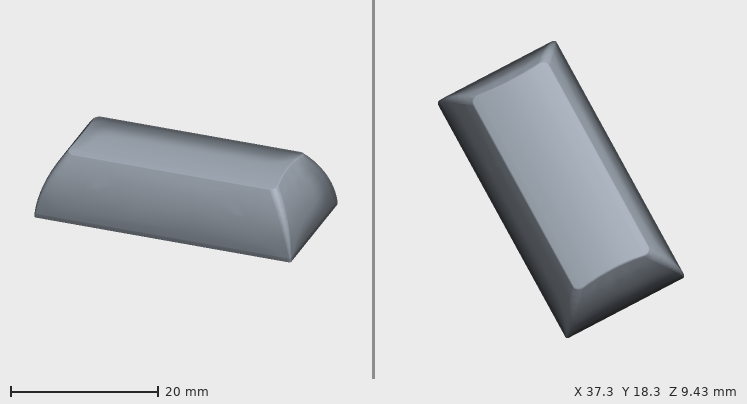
import cadquery as cq
import math

length = 37.27
width = 18.25
height = 9.43

band_height = 0.6
base_corner_radius = 0.3

wall_radius = 14.9
wall_start_angle = 4.5
top_corner_radius = 1.05
wall_sections = 6

crown_radius = 29.45
rim_radius = 0.3
overrun = 0.37


def wall_inset(rise):
    """Inward offset of the walls at a given rise above the band."""
    start = math.radians(wall_start_angle)
    end = math.asin(math.sin(start) + rise / wall_radius)
    return wall_radius * (math.cos(start) - math.cos(end))


def rounded_outline(inset, corner_radius):
    """Foot outline moved inward by inset, with rounded corners."""
    sides = cq.Sketch().rect(length - 2 * inset, width - 2 * inset)
    return sides.vertices().fillet(corner_radius)


def make_band():
    outline = rounded_outline(0, base_corner_radius)
    return cq.Workplane("XY").placeSketch(outline).extrude(band_height)


def make_walls():
    """Loft upward from the band while the corner radius grows, quickly at first."""
    full_rise = height + overrun - band_height
    sections = []
    for index in range(wall_sections):
        fraction = index / (wall_sections - 1)
        rise = fraction * full_rise
        growth = math.sin(fraction * math.pi / 2)
        corner_radius = base_corner_radius + growth * (top_corner_radius - base_corner_radius)
        outline = rounded_outline(wall_inset(rise), corner_radius)
        sections.append(outline.moved(cq.Location(cq.Vector(0, 0, band_height + rise))))
    return cq.Workplane("XY").placeSketch(*sections).loft()


def make_crown():
    """Long cylinder along X whose upper side is the crowned top face."""
    axis_height = height - crown_radius
    return (
        cq.Workplane("YZ", origin=(-length / 2, 0, axis_height))
        .circle(crown_radius)
        .extrude(length)
    )


body = make_band().union(make_walls()).intersect(make_crown())
result = body.faces(">Z").edges().fillet(rim_radius)